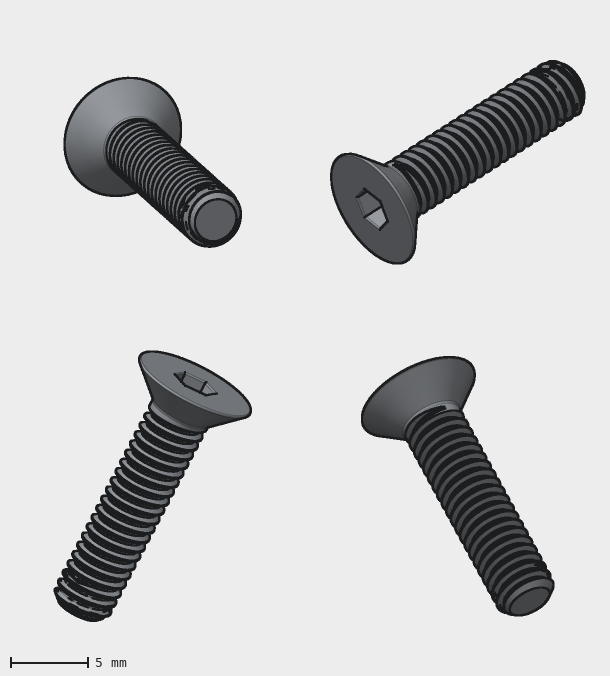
import math

import cadquery as cq

OVERALL_LENGTH = 17.16
HEAD_DIAMETER = 8.04
HEAD_EDGE_RADIUS = 0.1
NECK_FILLET_RADIUS = 0.23
THREAD_DIAMETER = 4.0
THREAD_PITCH = 0.7
TIP_RADIUS = 1.43
SOCKET_ACROSS_FLATS = 2.5
SOCKET_DEPTH = 1.52
SOCKET_EDGE_RADIUS = 0.1

GROOVE_START_X = 2.545
RUNOUT_FIRST_ANGLE = -22.0
RUNOUT_LAST_ANGLE = 45.0
RUNOUT_SECTIONS = 5
RUNOUT_SHIFT = 0.06
GROOVE_OVERLAP = 0.02

FLANK_ANGLE = math.radians(30)
HEXAGON_HALF_SECTOR = math.radians(30)

HEAD_RADIUS = HEAD_DIAMETER / 2
THREAD_RADIUS = THREAD_DIAMETER / 2
SHARP_HEAD_RADIUS = HEAD_RADIUS + HEAD_EDGE_RADIUS * math.sqrt(2)
HEAD_HEIGHT = SHARP_HEAD_RADIUS - THREAD_RADIUS
TIP_CHAMFER = THREAD_RADIUS - TIP_RADIUS
FLANK_SLOPE = math.tan(FLANK_ANGLE)
THREAD_DEPTH = 5 / 8 * THREAD_PITCH / (2 * FLANK_SLOPE)
ROOT_RADIUS = THREAD_RADIUS - THREAD_DEPTH
ROOT_HALF_WIDTH = THREAD_PITCH / 8
MOUTH_HALF_WIDTH = ROOT_HALF_WIDTH + (THREAD_DEPTH + GROOVE_OVERLAP) * FLANK_SLOPE


def make_blank():
    """Head and shank turned about the X axis, with a rounded head edge and neck."""
    outline = (
        cq.Workplane("XY")
        .moveTo(0, 0)
        .lineTo(0, SHARP_HEAD_RADIUS)
        .lineTo(HEAD_HEIGHT, THREAD_RADIUS)
        .lineTo(OVERALL_LENGTH - TIP_CHAMFER, THREAD_RADIUS)
        .lineTo(OVERALL_LENGTH, TIP_RADIUS)
        .lineTo(OVERALL_LENGTH, 0)
        .close()
    )
    blank = outline.revolve(360, (0, 0, 0), (1, 0, 0))
    head_cone = blank.faces("%CONE").faces("<X")
    blank = head_cone.edges(">X").fillet(NECK_FILLET_RADIUS)
    return blank.faces("<X").edges().fillet(HEAD_EDGE_RADIUS)


def cut_socket(blank):
    """Hexagonal key socket with corners on the Y axis and a rounded mouth."""
    across_corners = SOCKET_ACROSS_FLATS / math.cos(HEXAGON_HALF_SECTOR)
    socket = cq.Workplane("YZ").polygon(6, across_corners).extrude(SOCKET_DEPTH)
    mouth = blank.cut(socket).faces("<X").edges("%LINE")
    return mouth.fillet(SOCKET_EDGE_RADIUS)


def groove_section(angle, fade):
    """Trapezoid of the groove in the axial plane turned by angle from +Z; fade 1 lifts it clear."""
    turn = math.radians(angle)
    centre = GROOVE_START_X + THREAD_PITCH * angle / 360 + RUNOUT_SHIFT * fade
    lift = THREAD_DEPTH * fade
    root = ROOT_RADIUS + lift
    mouth = THREAD_RADIUS + GROOVE_OVERLAP + lift
    corners = [
        (-ROOT_HALF_WIDTH, root),
        (ROOT_HALF_WIDTH, root),
        (MOUTH_HALF_WIDTH, mouth),
        (-MOUTH_HALF_WIDTH, mouth),
    ]
    points = [
        cq.Vector(centre + shift, -radius * math.sin(turn), radius * math.cos(turn))
        for shift, radius in corners
    ]
    return cq.Wire.makePolygon(points, close=True)


def make_runout():
    """Start of the groove, deepening steadily from the surface to full depth."""
    sections = []
    for index in range(RUNOUT_SECTIONS):
        progress = index / (RUNOUT_SECTIONS - 1)
        angle = RUNOUT_FIRST_ANGLE + progress * (RUNOUT_LAST_ANGLE - RUNOUT_FIRST_ANGLE)
        sections.append(groove_section(angle, 1 - progress))
    return cq.Solid.makeLoft(sections)


def make_helical_groove():
    """Full depth right-hand groove, running out past the tip."""
    start = GROOVE_START_X + THREAD_PITCH * RUNOUT_LAST_ANGLE / 360
    length = OVERALL_LENGTH + THREAD_PITCH - start
    helix = cq.Wire.makeHelix(THREAD_PITCH, length, ROOT_RADIUS)
    helix = helix.rotate(cq.Vector(0, 0, 0), cq.Vector(0, 1, 0), 90)
    helix = helix.rotate(cq.Vector(0, 0, 0), cq.Vector(1, 0, 0), 180 + RUNOUT_LAST_ANGLE)
    helix = helix.translate(cq.Vector(start, 0, 0))
    section = groove_section(RUNOUT_LAST_ANGLE, 0)
    return cq.Solid.sweep(section, [], helix, makeSolid=True, isFrenet=True)


screw = cut_socket(make_blank())
screw = screw.cut(cq.Workplane(make_helical_groove()))
result = screw.cut(cq.Workplane(make_runout()))